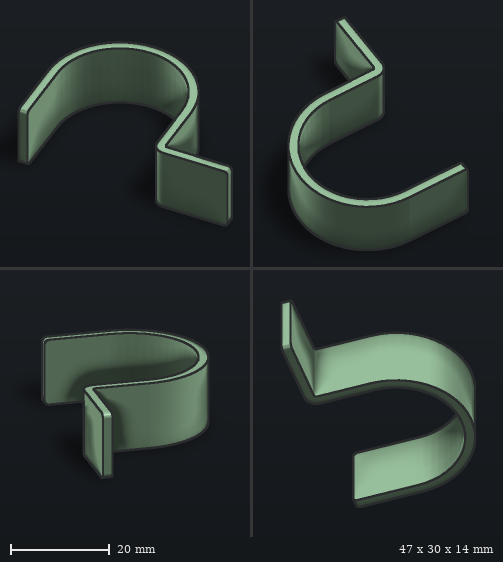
import cadquery as cq
import math

overall_length = 47.0
strip_width = 14.0
thickness = 2.0
arch_radius = 16.0
leg_length = 14.0
bend_inner_radius = 0.5
corner_radius = 1.0

inner_radius = arch_radius - thickness
bend_outer_radius = bend_inner_radius + thickness
base_y = -leg_length
foot_top_y = base_y + thickness
foot_end_x = overall_length - arch_radius
bend_x = arch_radius + bend_inner_radius
bend_y = foot_top_y + bend_inner_radius


def bend_midpoint(radius):
    """Middle of the quarter bend between the right leg and the foot."""
    offset = radius * math.sqrt(0.5)
    return (bend_x - offset, bend_y - offset)


def make_strip():
    """Bent strip: left leg, half-round arch, right leg, bend and foot."""
    return (
        cq.Workplane("XY")
        .moveTo(-arch_radius, base_y)
        .lineTo(-arch_radius, 0)
        .threePointArc((0, arch_radius), (arch_radius, 0))
        .lineTo(arch_radius, bend_y)
        .threePointArc(bend_midpoint(bend_inner_radius), (bend_x, foot_top_y))
        .lineTo(foot_end_x, foot_top_y)
        .lineTo(foot_end_x, base_y)
        .lineTo(bend_x, base_y)
        .threePointArc(bend_midpoint(bend_outer_radius), (inner_radius, bend_y))
        .lineTo(inner_radius, 0)
        .threePointArc((0, inner_radius), (-inner_radius, 0))
        .lineTo(-inner_radius, base_y)
        .close()
        .extrude(strip_width)
    )


def round_free_ends(strip):
    """Round the corners of the foot end and of the left leg end."""
    strip = strip.faces(">X").edges("|Y").fillet(corner_radius)
    return strip.edges("|X").edges("<X").fillet(corner_radius)


result = round_free_ends(make_strip())